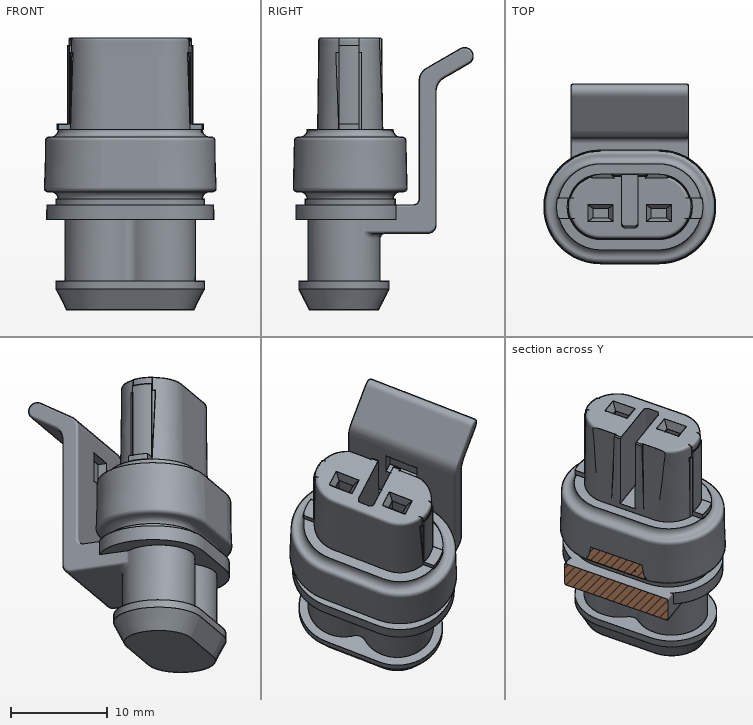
import cadquery as cq
import math


AXIS_X = 3.0
BARREL_Y = -0.65
RIB_Y = -0.15

COLLAR_EDGE_Z = 2.15
COLLAR_TOP = 2.98
FLANGE_BOTTOM = 9.33
FLANGE_TOP = 10.85
STEP_TOP = 11.45
BODY_BOTTOM = 12.2
BODY_TOP = 17.85
PLUG_TOP = 28.1

COLLAR_TIP_R = 3.57
COLLAR_R = 4.66
BARREL_R = 3.75
FLANGE_R = 5.62
STEP_R = 4.66
NECK_R = 4.45
BODY_LOW_R = 5.87
BODY_HIGH_R = 5.75
BODY_ROUND = 0.4
NECK_ROUND = 0.75
DECK_Z = BODY_TOP + NECK_ROUND
VALLEY_ROUND = 1.0

PLUG_BASE_R = 3.37
PLUG_RIM_R = 3.25
PLUG_RIM_Z = 26.58
PLUG_ROUND = 0.3
RIB_WIDTH = 2.08
RIB_R = 3.45
RIB_TIP_R = 3.35
RIB_TOP = 27.29
TAB_R = 4.55
TAB_TOP = 19.2
PLINTH_R = 3.37
PLINTH_BACK_Y = 1.18
PLINTH_FRONT_LOW_Y = -1.18
PLINTH_FRONT_HIGH_Y = -1.5
BACK_RIM_Y = 3.0
PAD_LOW_HALF = 1.9
PAD_HIGH_HALF = 1.6
PAD_LOW_Y = 3.35
PAD_HIGH_Y = 3.25
PAD_CHAMFER = 0.15
SLOT_WIDTH = 1.75
SLOT_FRONT_HIGH_Y = -2.15
SLOT_FRONT_LOW_Y = -2.0
SLOT_ROUND = 0.42
SLOT_FLOOR_Z = TAB_TOP

MOUTH_X, MOUTH_Y = 2.59, 1.75
HOLE_X, HOLE_Y = 1.57, 0.95
MOUTH_DEPTH = 0.87
HOLE_DEPTH = 1.97

LATCH_WIDTH = 12.15
LATCH_THICK = 1.77
LATCH_INNER_Y = 7.1
LATCH_TIP_Y = 12.7
LATCH_TOP = 27.1
LATCH_SLOPE = 30.0
ARM_BOTTOM = 7.9
BEND_ROUND = 1.55
ARM_OUTER_ROUND = 0.9
ARM_INNER_ROUND = 0.6
ROOT_ROUND = 0.5
LATCH_EDGE_ROUND = 0.25
WINDOW_WIDTH = 3.48
WINDOW_BOTTOM = 19.22
WINDOW_TOP = 22.3
WINDOW_DEPTH = 0.95

TOLERANCE = 0.0003
ROUND_MID = math.sqrt(0.5)


def convex_top(profile, radius, top, size):
    """Round a profile over from a vertical side at `radius` to a flat at `top`."""
    middle = (radius - size + size * ROUND_MID, top - size + size * ROUND_MID)
    return profile.lineTo(radius, top - size).threePointArc(middle, (radius - size, top))


def obround_solid(profile, middle_y):
    """Sweep a closed (radius, z) profile round an obround on the two axes."""
    section = cq.Workplane("XZ").add(cq.Face.makeFromWires(profile.val()))
    straight = section.extrude(AXIS_X, both=True)
    straight = straight.rotate((0, 0, 0), (0, 0, 1), 90)
    turned = section.revolve(360, (0, 0, 0), (0, 1, 0))
    solid = straight.union(straight.mirror("XZ"))
    for side in (-1, 1):
        solid = solid.union(turned.translate((side * AXIS_X, 0, 0)))
    return solid.translate((0, middle_y, 0))


def straight_obround(radius, bottom, top):
    plan = cq.Workplane("XY", origin=(0, 0, bottom))
    return plan.slot2D(2 * (AXIS_X + radius), 2 * radius).extrude(top - bottom)


def wall_between(half_width, corners):
    """Straight wall along X with a polygon of (y, z) corners as its section."""
    return cq.Workplane("YZ").polyline(corners).close().extrude(half_width, both=True)


def box_between(x_range, y_range, z_range):
    corner = (x_range[0], y_range[0], z_range[0])
    sizes = [high - low for low, high in (x_range, y_range, z_range)]
    return cq.Workplane("XY", origin=corner).box(*sizes, centered=False)


def end_collar():
    profile = (
        cq.Workplane("XZ")
        .lineTo(COLLAR_TIP_R, 0)
        .lineTo(COLLAR_R, COLLAR_EDGE_Z)
        .lineTo(COLLAR_R, COLLAR_TOP)
        .lineTo(0, COLLAR_TOP)
        .close()
    )
    return obround_solid(profile, BARREL_Y)


def barrels():
    """Two overlapping round barrels with rounded valleys between them."""
    valley_y = math.sqrt((BARREL_R + VALLEY_ROUND) ** 2 - AXIS_X ** 2)
    touch = BARREL_R / (BARREL_R + VALLEY_ROUND)
    touch_x = AXIS_X * (1 - touch)
    touch_y = valley_y * touch
    valley_low = valley_y - VALLEY_ROUND
    outline = (
        cq.Workplane("XY", origin=(0, BARREL_Y, COLLAR_TOP))
        .moveTo(-touch_x, -touch_y)
        .threePointArc((0, -valley_low), (touch_x, -touch_y))
        .threePointArc((AXIS_X + BARREL_R, 0), (touch_x, touch_y))
        .threePointArc((0, valley_low), (-touch_x, touch_y))
        .threePointArc((-AXIS_X - BARREL_R, 0), (-touch_x, -touch_y))
        .close()
    )
    return outline.extrude(FLANGE_BOTTOM - COLLAR_TOP)


def coupling_body():
    """Flange, step, neck, drafted body and upper neck, in one profile."""
    concave = NECK_ROUND * (1 - ROUND_MID)
    convex = BODY_ROUND * (1 - ROUND_MID)
    profile = (
        cq.Workplane("XZ")
        .moveTo(0, FLANGE_BOTTOM)
        .lineTo(FLANGE_R, FLANGE_BOTTOM)
        .lineTo(FLANGE_R, FLANGE_TOP)
        .lineTo(STEP_R, FLANGE_TOP)
        .lineTo(STEP_R, STEP_TOP)
        .lineTo(NECK_R, STEP_TOP)
        .threePointArc((NECK_R + concave, BODY_BOTTOM - concave), (NECK_R + NECK_ROUND, BODY_BOTTOM))
        .lineTo(BODY_LOW_R - BODY_ROUND, BODY_BOTTOM)
        .threePointArc((BODY_LOW_R - convex, BODY_BOTTOM + convex), (BODY_LOW_R, BODY_BOTTOM + BODY_ROUND))
    )
    profile = (
        convex_top(profile, BODY_HIGH_R, BODY_TOP, BODY_ROUND)
        .lineTo(NECK_R + NECK_ROUND, BODY_TOP)
        .threePointArc((NECK_R + concave, BODY_TOP + concave), (NECK_R, DECK_Z))
        .lineTo(0, DECK_Z)
        .close()
    )
    return obround_solid(profile, 0)


def plug_core():
    """Drafted plug with a rounded rim and a more steeply sloped back face."""
    profile = (
        cq.Workplane("XZ")
        .moveTo(0, DECK_Z)
        .lineTo(PLUG_BASE_R, DECK_Z)
        .lineTo(PLUG_RIM_R, PLUG_RIM_Z)
    )
    profile = convex_top(profile, PLUG_RIM_R, PLUG_TOP, PLUG_ROUND).lineTo(0, PLUG_TOP).close()
    behind_back = wall_between(
        AXIS_X + PLUG_BASE_R,
        [(BACK_RIM_Y, PLUG_TOP), (PLUG_BASE_R, DECK_Z), (PLUG_BASE_R, PLUG_TOP)],
    )
    return obround_solid(profile, 0).cut(behind_back)


def side_ribs():
    """Narrow ribs on both ends of the plug, each with a tab at its foot and a plinth."""
    profile = (
        cq.Workplane("XZ")
        .moveTo(0, DECK_Z)
        .lineTo(RIB_R, DECK_Z)
        .lineTo(RIB_R, RIB_TOP)
        .lineTo(RIB_TIP_R, RIB_TOP)
    )
    profile = convex_top(profile, RIB_TIP_R, PLUG_TOP, PLUG_ROUND).lineTo(0, PLUG_TOP).close()
    ribs = obround_solid(profile, 0).union(straight_obround(TAB_R, DECK_Z, TAB_TOP))
    reach = AXIS_X + TAB_R
    half = RIB_WIDTH / 2
    rib_band = box_between((-reach, reach), (RIB_Y - half, RIB_Y + half), (DECK_Z, PLUG_TOP))
    plinth_band = wall_between(
        reach,
        [
            (PLINTH_BACK_Y, DECK_Z),
            (PLINTH_BACK_Y, PLUG_RIM_Z),
            (PLINTH_FRONT_HIGH_Y, PLUG_RIM_Z),
            (PLINTH_FRONT_LOW_Y, DECK_Z),
        ],
    )
    plinths = straight_obround(PLINTH_R, DECK_Z, PLUG_RIM_Z).intersect(plinth_band)
    return ribs.intersect(rib_band).union(plinths)


def back_pad():
    """Raised pad on the back of the plug, drafted on its sides and face."""
    pad = (
        cq.Workplane("XY", origin=(0, 0, DECK_Z))
        .center(0, PAD_LOW_Y / 2)
        .rect(2 * PAD_LOW_HALF, PAD_LOW_Y)
        .workplane(offset=PLUG_TOP - DECK_Z)
        .center(0, (PAD_HIGH_Y - PAD_LOW_Y) / 2)
        .rect(2 * PAD_HIGH_HALF, PAD_HIGH_Y)
        .loft(combine=True)
    )
    return pad.faces(">Z").edges(">Y").chamfer(PAD_CHAMFER)


def key_slot():
    """Slot across the plug top, open at the back, with a drafted front end."""
    slot = wall_between(
        SLOT_WIDTH / 2,
        [
            (SLOT_FRONT_LOW_Y, SLOT_FLOOR_Z),
            (SLOT_FRONT_HIGH_Y, PLUG_TOP),
            (PLUG_BASE_R, PLUG_TOP),
            (PLUG_BASE_R, SLOT_FLOOR_Z),
        ],
    )
    return slot.faces("<Y").edges("not |X").fillet(SLOT_ROUND)


def terminal_opening(x):
    """Tapered mouth leading to a straight rectangular hole."""
    mouth = (
        cq.Workplane("XY", origin=(x, BARREL_Y, PLUG_TOP))
        .rect(MOUTH_X, MOUTH_Y)
        .workplane(offset=-MOUTH_DEPTH)
        .rect(HOLE_X, HOLE_Y)
        .loft(combine=True)
    )
    hole = cq.Workplane("XY", origin=(x, BARREL_Y, PLUG_TOP - MOUTH_DEPTH))
    return mouth.union(hole.rect(HOLE_X, HOLE_Y).extrude(-HOLE_DEPTH))


def rounded_root(barrels_with_latch):
    """Round the corners under the latch arm where it meets the barrels."""
    edges = barrels_with_latch.edges("%CIRCLE").vals()
    at_arm = [edge for edge in edges if abs(edge.Center().z - ARM_BOTTOM) < TOLERANCE]
    return barrels_with_latch.newObject(at_arm).fillet(ROOT_ROUND)


def latch():
    """Bent strip: arm from the barrels, upright plate and sloped finger tip."""
    slope = math.radians(LATCH_SLOPE)
    outer_y = LATCH_INNER_Y + LATCH_THICK
    tip_r = LATCH_THICK / 2
    tip_y = LATCH_TIP_Y - tip_r
    tip_z = LATCH_TOP - tip_r
    along = (math.cos(slope), math.sin(slope))
    across = (-math.sin(slope) * tip_r, math.cos(slope) * tip_r)
    upper = (tip_y + across[0], tip_z + across[1])
    lower = (tip_y - across[0], tip_z - across[1])
    tip = (tip_y + along[0] * tip_r, tip_z + along[1] * tip_r)
    inner_bend_z = upper[1] - (upper[0] - LATCH_INNER_Y) * math.tan(slope)
    outer_bend_z = lower[1] - (lower[0] - outer_y) * math.tan(slope)

    strip = (
        cq.Workplane("YZ")
        .moveTo(BARREL_Y, ARM_BOTTOM)
        .lineTo(outer_y, ARM_BOTTOM)
        .lineTo(outer_y, outer_bend_z)
        .lineTo(*lower)
        .threePointArc(tip, upper)
        .lineTo(LATCH_INNER_Y, inner_bend_z)
        .lineTo(LATCH_INNER_Y, FLANGE_TOP)
        .lineTo(BARREL_Y, FLANGE_TOP)
        .close()
        .extrude(LATCH_WIDTH / 2, both=True)
    )
    for bend_y, bend_z, size in (
        (outer_y, outer_bend_z, BEND_ROUND),
        (LATCH_INNER_Y, inner_bend_z, BEND_ROUND),
        (outer_y, ARM_BOTTOM, ARM_OUTER_ROUND),
        (LATCH_INNER_Y, FLANGE_TOP, ARM_INNER_ROUND),
    ):
        strip = strip.edges(cq.NearestToPointSelector((0, bend_y, bend_z))).fillet(size)

    root_end = strip.faces("<Y").edges()
    sides = strip.faces("<X or >X").edges()
    rounded = sides.newObject([e for e in sides.vals() if e not in root_end.vals()])
    strip = rounded.fillet(LATCH_EDGE_ROUND)

    half = WINDOW_WIDTH / 2
    window = box_between(
        (-half, half),
        (LATCH_INNER_Y, LATCH_INNER_Y + WINDOW_DEPTH),
        (WINDOW_BOTTOM, WINDOW_TOP),
    )
    return strip.cut(window)


plug = plug_core().union(side_ribs()).union(back_pad()).cut(key_slot())
for terminal_x in (-AXIS_X, AXIS_X):
    plug = plug.cut(terminal_opening(terminal_x))

shaft = rounded_root(barrels().union(latch()))
result = end_collar().union(shaft).union(coupling_body()).union(plug)